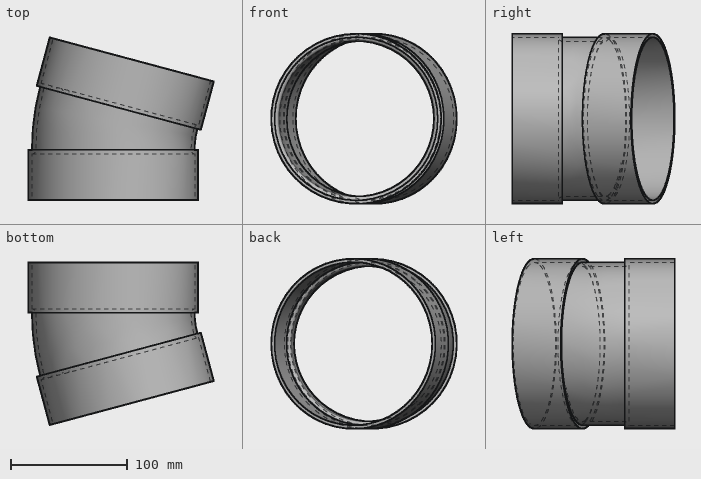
import cadquery as cq
import math

bend_angle = 15.0
bend_radius = 139.5
socket_outer_radius = 73.0
socket_inner_radius = 70.0
bore_radius = 66.6
socket_length = 43.0
stop_round = socket_inner_radius - bore_radius
socket_depth = socket_length - stop_round

angle = math.radians(bend_angle)
bend_start = cq.Vector(0, socket_length, 0)
bend_end = cq.Vector(
    bend_radius * (1 - math.cos(angle)),
    socket_length + bend_radius * math.sin(angle),
    0,
)
start_axis = cq.Vector(0, 1, 0)
end_axis = cq.Vector(math.sin(angle), math.cos(angle), 0)

def bent_rod(radius):
    """Solid rod following the centreline of the bend."""
    return (
        cq.Workplane("XZ", origin=bend_start.toTuple())
        .circle(radius)
        .revolve(bend_angle, (bend_radius, 0), (bend_radius, -1))
    )

def rod(origin, axis, radius, length):
    """Solid cylinder starting at origin and running along axis."""
    return cq.Workplane(cq.Solid.makeCylinder(radius, length, origin, axis))

def socket_cavity(mouth, inward):
    """Socket bore that narrows over a rounded stop into the pipe bore."""
    arc_offset = stop_round * math.sqrt(0.5)
    profile = (
        cq.Workplane("XY")
        .lineTo(socket_inner_radius, 0)
        .lineTo(socket_inner_radius, socket_depth)
        .threePointArc(
            (socket_inner_radius - arc_offset, socket_length - arc_offset),
            (bore_radius, socket_length),
        )
        .lineTo(0, socket_length)
        .close()
        .revolve(360, (0, 0), (0, 1))
    )
    turn = math.degrees(math.atan2(-inward.x, inward.y))
    return profile.rotate((0, 0, 0), (0, 0, 1), turn).translate(mouth)

start_mouth = bend_start - start_axis * socket_length
end_mouth = bend_end + end_axis * socket_length

body = (
    bent_rod(socket_inner_radius)
    .union(rod(start_mouth, start_axis, socket_outer_radius, socket_length))
    .union(rod(bend_end, end_axis, socket_outer_radius, socket_length))
)

result = (
    body.cut(bent_rod(bore_radius))
    .cut(socket_cavity(start_mouth, start_axis))
    .cut(socket_cavity(end_mouth, end_axis * -1))
)